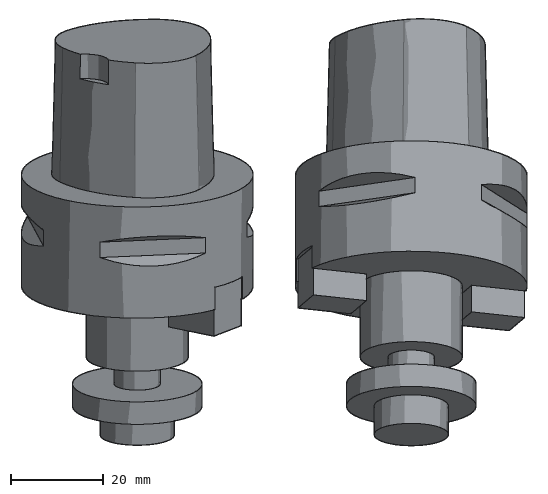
import cadquery as cq
import math

head_diameter = 16.0
head_height = 6.5
collar_diameter = 28.0
collar_height = 5.05
neck_diameter = 10.0
neck_height = 6.0
pilot_diameter = 22.0
pilot_height = 16.0

body_diameter = 50.0
body_height = 25.0
total_height = 88.5
body_bottom = head_height + collar_height + neck_height + pilot_height
body_top = body_bottom + body_height

lobe_radius = 12.6
lobe_offset = 5.9
side_radius = 25.75
shank_height = total_height - body_top
shank_taper = math.degrees(math.atan(1 / 40))

notch_diameter = 10.0
notch_depth = 5.5
notch_bottom_y = -13.9

pocket_floor_distance = 22.2
pocket_floor_height = 3.45
pocket_wall_angle = 30
pocket_drop = 10.0

key_width = 10.0
key_inner_x = 12.0
key_outer_x = 24.2
key_embed = 5.05
key_projection = 6.0


def polar(radius, angle):
    """Return the XY point at a radius and an angle in degrees."""
    return radius * math.cos(math.radians(angle)), radius * math.sin(math.radians(angle))


def make_stack():
    """Stack the coaxial cylinders from the head up to the body."""
    steps = [
        (head_diameter, head_height),
        (collar_diameter, collar_height),
        (neck_diameter, neck_height),
        (pilot_diameter, pilot_height),
        (body_diameter, body_height),
    ]
    stack = cq.Workplane("XY").circle(head_diameter / 2).extrude(head_height)
    for diameter, height in steps[1:]:
        stack = stack.faces(">Z").workplane().circle(diameter / 2).extrude(height)
    return stack


def make_shank():
    """Build the tapered shank from three lobe arcs joined by tangent side arcs."""
    side_half_angle = math.degrees(
        math.asin(lobe_offset * math.sin(math.radians(60)) / (side_radius - lobe_radius))
    )
    lobe_half_angle = 60 - side_half_angle

    def lobe_point(lobe_angle, normal_angle):
        center_x, center_y = polar(lobe_offset, lobe_angle)
        offset_x, offset_y = polar(lobe_radius, normal_angle)
        return center_x + offset_x, center_y + offset_y

    side_distance = (
        lobe_offset / 2
        + lobe_radius * math.cos(math.radians(side_half_angle))
        + side_radius * (1 - math.cos(math.radians(side_half_angle)))
    )
    outline = cq.Workplane("XY", origin=(0, 0, body_top))
    outline = outline.moveTo(*lobe_point(90, 90 - lobe_half_angle))
    for lobe_angle in (90, 210, 330):
        next_angle = lobe_angle + 120
        outline = outline.threePointArc(
            lobe_point(lobe_angle, lobe_angle), lobe_point(lobe_angle, lobe_angle + lobe_half_angle)
        )
        outline = outline.threePointArc(
            polar(side_distance, lobe_angle + 60), lobe_point(next_angle, next_angle - lobe_half_angle)
        )
    return outline.close().extrude(shank_height, taper=shank_taper)


def make_notch():
    """Build the round-bottomed cutter for the notch on the -Y side."""
    center_y = notch_bottom_y - notch_diameter / 2
    return (
        cq.Workplane("XY", origin=(0, center_y, total_height - notch_depth))
        .circle(notch_diameter / 2)
        .extrude(notch_depth)
    )


def make_pocket(angle):
    """Build one trapezoidal pocket cutter, facing outward at the given angle."""
    outer = body_diameter / 2
    half_floor = pocket_floor_height / 2
    half_mouth = half_floor + (outer - pocket_floor_distance) * math.tan(math.radians(pocket_wall_angle))
    return (
        cq.Workplane("XZ", origin=(0, 0, body_top - pocket_drop))
        .polyline([
            (pocket_floor_distance, -half_floor),
            (outer, -half_mouth),
            (outer, half_mouth),
            (pocket_floor_distance, half_floor),
        ])
        .close()
        .extrude(body_diameter / 2, both=True)
        .rotate((0, 0, 0), (0, 0, 1), angle)
    )


def make_key_block(side, outer_x, height, bottom):
    """Build a block of key width on the +X (side = 1) or -X (side = -1) side."""
    length = outer_x - key_inner_x
    center_x = side * (key_inner_x + outer_x) / 2
    return (
        cq.Workplane("XY", origin=(center_x, 0, bottom))
        .rect(length, key_width)
        .extrude(height)
    )


result = make_stack().union(make_shank()).cut(make_notch())

for pocket_angle in (45, 135, 225, 315):
    result = result.cut(make_pocket(pocket_angle))

for key_side in (-1, 1):
    slot = make_key_block(key_side, body_diameter / 2, key_embed, body_bottom)
    key = make_key_block(key_side, key_outer_x, key_embed + key_projection, body_bottom - key_projection)
    result = result.cut(slot).union(key)